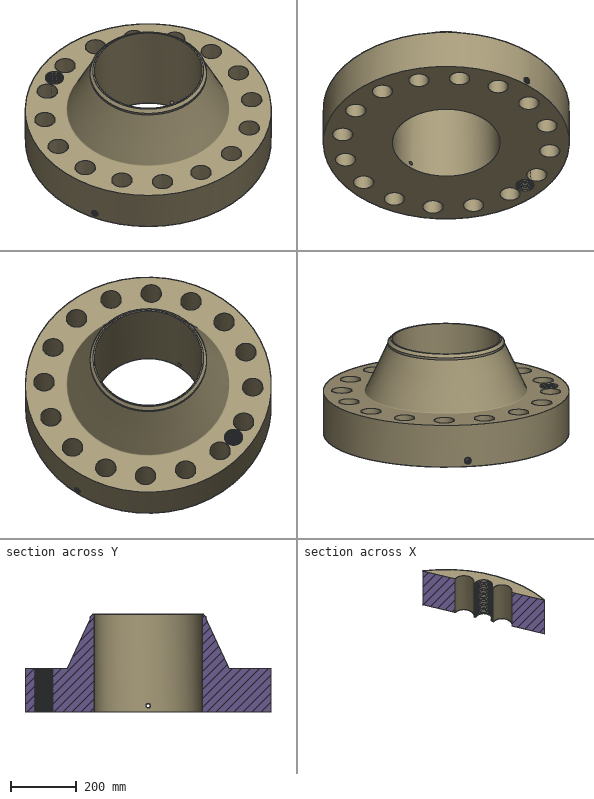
import cadquery as cq
import math

flange_radius = 375.0
flange_height = 133.0

total_height = 298.0
neck_base_radius = 247.0
neck_base_fillet = 4.0
neck_end_radius = 177.5
weld_land_height = 7.0
bevel_height = 9.0
bevel_width = 9.0
bore_radius = 164.0

bolt_count = 16
bolt_circle_radius = 318.0
bolt_hole_radius = 31.0

jack_major_radius = 28.0
jack_minor_radius = 25.0
jack_pitch = 5.5

tap_height = 19.0
tap_major_radius = 10.5
tap_minor_radius = 8.0
tap_pitch = 1.8
tap_thread_depth = 20.0
tap_bore_radius = 6.0


def threaded_cutter(major_radius, minor_radius, pitch, depth):
    """Ring-grooved cutter with its mouth at the origin, running down -Z."""
    groove_count = math.ceil(depth / pitch)
    step = depth / groove_count
    profile = cq.Workplane("XZ").lineTo(major_radius, 0)
    for groove in range(groove_count):
        groove_top = -groove * step
        profile = profile.lineTo(minor_radius, groove_top - step / 2)
        profile = profile.lineTo(major_radius, groove_top - step)
    return profile.lineTo(0, -depth).close().revolve(360, (0, 0, 0), (0, 1, 0))


def flange_with_neck():
    bevel_bottom = total_height - bevel_height
    land_bottom = bevel_bottom - weld_land_height
    flange = cq.Workplane("XY").circle(flange_radius).extrude(flange_height)
    neck = (
        cq.Workplane("XZ")
        .moveTo(0, flange_height)
        .lineTo(neck_base_radius, flange_height)
        .lineTo(neck_end_radius, land_bottom)
        .lineTo(neck_end_radius, bevel_bottom)
        .lineTo(neck_end_radius - bevel_width, total_height)
        .lineTo(0, total_height)
        .close()
        .revolve(360, (0, 0, 0), (0, 1, 0))
    )
    body = flange.union(neck)
    base_corner = cq.selectors.NearestToPointSelector((0, 0, flange_height))
    body = body.edges(base_corner).fillet(neck_base_fillet)
    return body.cut(cq.Workplane("XY").circle(bore_radius).extrude(total_height))


def bolt_holes():
    half_step = 180 / bolt_count
    return (
        cq.Workplane("XY")
        .polarArray(bolt_circle_radius, half_step, 360, bolt_count)
        .circle(bolt_hole_radius)
        .extrude(flange_height)
    )


def jack_screw_hole():
    cutter = threaded_cutter(jack_major_radius, jack_minor_radius, jack_pitch, flange_height)
    return cutter.translate((-bolt_circle_radius, 0, flange_height))


def pressure_tap():
    """Threaded mouth at -Y with a narrower drilling on into the bore."""
    thread = threaded_cutter(tap_major_radius, tap_minor_radius, tap_pitch, tap_thread_depth)
    drilling = cq.Workplane("XY").circle(tap_bore_radius).extrude(-flange_radius)
    cutter = thread.union(drilling)
    return cutter.rotate((0, 0, 0), (1, 0, 0), 90).translate((0, -flange_radius, tap_height))


result = flange_with_neck().cut(bolt_holes()).cut(jack_screw_hole())
for tap_angle in (0, 180):
    result = result.cut(pressure_tap().rotate((0, 0, 0), (0, 0, 1), tap_angle))